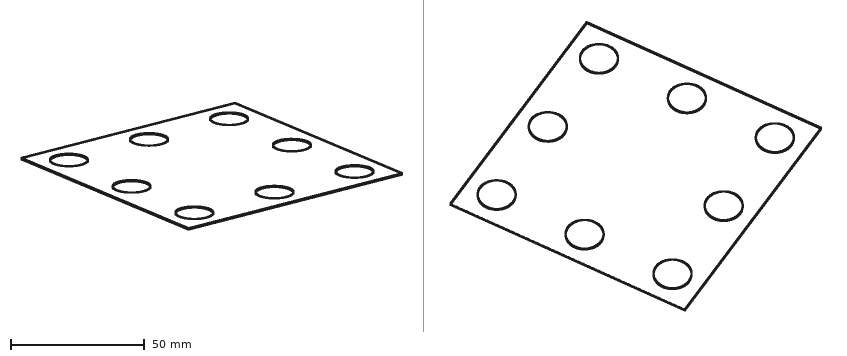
import cadquery as cq

plate_side = 101.6
plate_thickness = 0.5
hole_diameter = 14.22
hole_pitch = 38.1


def make_plate():
    """Thin square sheet, centred on the Z axis and resting on Z = 0."""
    return cq.Workplane("XY").box(
        plate_side, plate_side, plate_thickness, centered=(True, True, False)
    )


def hole_centres():
    """Three by three square grid of centres, with the middle one left out."""
    offsets = (-hole_pitch, 0, hole_pitch)
    return [(x, y) for x in offsets for y in offsets if (x, y) != (0, 0)]


def cut_holes(plate):
    """Cut the eight round through holes around the border of the plate."""
    return plate.faces(">Z").workplane().pushPoints(hole_centres()).hole(hole_diameter)


result = cut_holes(make_plate())